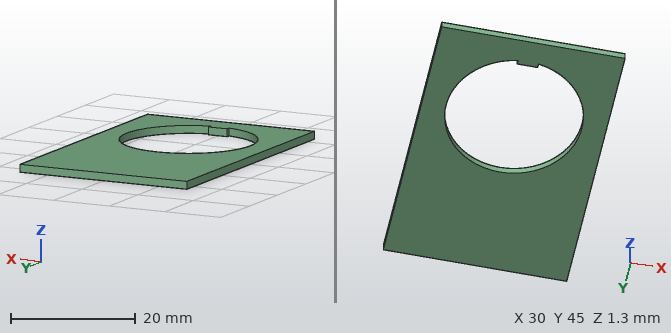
import cadquery as cq

plate_length = 45.0
plate_width = 30.0
plate_thickness = 1.3

hole_diameter = 22.25
hole_to_front_edge = 15.0
hole_y = hole_to_front_edge - plate_length / 2

key_width = 3.38
hole_center_to_key = 10.3


def make_plate():
    return cq.Workplane("XY").box(plate_width, plate_length, plate_thickness)


def make_keyed_opening():
    """Through cutter: a disc with the key's flat-topped notch removed."""
    hole_radius = hole_diameter / 2
    disc = cq.Workplane("XY").center(0, hole_y).circle(hole_radius).extrude(plate_thickness, both=True)
    key_depth = hole_radius - hole_center_to_key
    key_center_y = hole_y - hole_center_to_key - key_depth / 2
    key = (
        cq.Workplane("XY")
        .center(0, key_center_y)
        .rect(key_width, key_depth)
        .extrude(plate_thickness, both=True)
    )
    return disc.cut(key)


result = make_plate().cut(make_keyed_opening())